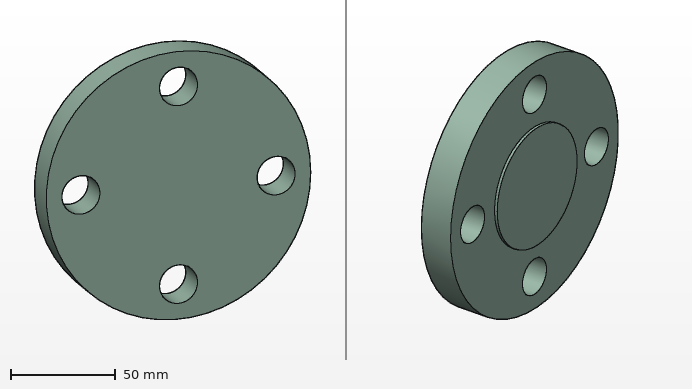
import cadquery as cq

flange_diameter = 133.4
total_thickness = 19.1
raised_face_diameter = 63.5
raised_face_height = 1.6
bolt_circle_diameter = 98.4
bolt_hole_diameter = 19.1
bolt_count = 4

flange_thickness = total_thickness - raised_face_height


def make_blank():
    """Flange disc from X = 0 to +X, with the raised face on its -X side."""
    face_plane = cq.Workplane("YZ")
    disc = face_plane.circle(flange_diameter / 2).extrude(flange_thickness)
    raised_face = face_plane.circle(raised_face_diameter / 2).extrude(-raised_face_height)
    return disc.union(raised_face)


def make_bolt_holes():
    """Cylinders for the through holes, the first one on the +Y axis."""
    return (
        cq.Workplane("YZ")
        .polarArray(bolt_circle_diameter / 2, 0, 360, bolt_count)
        .circle(bolt_hole_diameter / 2)
        .extrude(flange_thickness)
    )


result = make_blank().cut(make_bolt_holes())